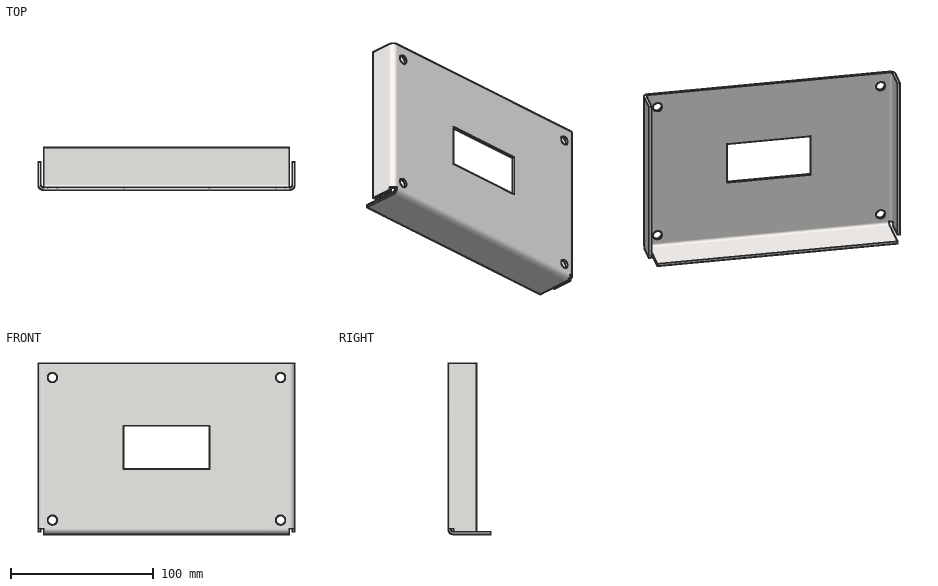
import cadquery as cq

width = 180.0
height = 120.0
shelf_depth = 30.0
side_depth = 20.0

sheet = 2.0
inner_radius = 2.0
bend = sheet + inner_radius

hole_diameter = 6.5
hole_inset = 10.0
window_width = 60.0
window_height = 30.0
window_center_z = 61.0


def bent_profile(plane, leg, depth):
    """L-shaped strip: a face leg along local X and a flange along local Y."""
    return (
        cq.Workplane(plane)
        .moveTo(leg, 0)
        .lineTo(bend, 0)
        .radiusArc((0, bend), bend)
        .lineTo(0, depth)
        .lineTo(sheet, depth)
        .lineTo(sheet, bend)
        .radiusArc((bend, sheet), -inner_radius)
        .lineTo(leg, sheet)
        .close()
    )


def side_half():
    """Left half of the face with its side flange, including the lower tab."""
    folded = bent_profile(cq.Plane.XY(), width / 2, side_depth).extrude(height)
    flange_bottom = sheet
    relief = cq.Workplane("XY").box(width / 2, bend, bend, centered=False)
    below_flange = cq.Workplane("XY").box(width / 2, side_depth, flange_bottom, centered=False)
    return folded.cut(relief).cut(below_flange)


def shelf():
    """Bottom flange and its bend, between the two corner reliefs."""
    plane = cq.Plane(origin=(bend, 0, 0), xDir=(0, 0, 1), normal=(1, 0, 0))
    strip = bent_profile(plane, height / 2, shelf_depth).extrude(width - 2 * bend)
    return strip.mirror("XZ")


left = side_half()
right = left.mirror("YZ", (width / 2, 0, 0))
body = left.union(right).union(shelf())

hole_centers = [
    (x, z)
    for x in (hole_inset, width - hole_inset)
    for z in (hole_inset, height - hole_inset)
]
holes = (
    cq.Workplane("XZ")
    .pushPoints(hole_centers)
    .circle(hole_diameter / 2)
    .extrude(-sheet)
)
window = (
    cq.Workplane("XZ")
    .center(width / 2, window_center_z)
    .rect(window_width, window_height)
    .extrude(-sheet)
)

result = body.cut(holes).cut(window)